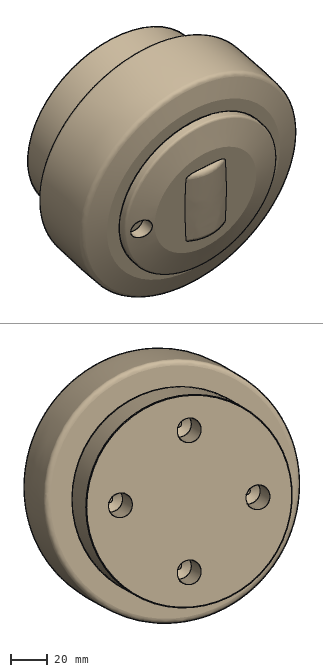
import cadquery as cq
import math


flange_diameter = 120.0
flange_end = 26.1
flange_chamfer = 0.5

neck_diameter = 100.0
neck_end = 28.0
groove_diameter = 99.1

tyre_diameter = 149.0
tyre_start = 28.9
tyre_end = 73.9
tyre_crown_drop = 0.5
tyre_cone_width = 3.9
tyre_round = 3.0

spacer_diameter = 101.5
cap_diameter = 104.5
cap_start = 74.5
cap_end = 85.0
cap_cone_width = 4.6
cap_chamfer = 0.5
cap_round = 1.5
cone_angle = 15.0

overall_length = 89.1
roller_radius = 26.5
roller_length = 50.4
roller_crown_drop = 0.5
roller_round = 3.0

mounting_hole_diameter = 13.9
mounting_hole_floor_diameter = 4.3
mounting_hole_depth = 17.9
mounting_tip_angle = 118.0
mounting_circle_radius = 40.0
mounting_hole_count = 4

lube_hole_diameter = 12.4
lube_hole_offset = 42.6
lube_hole_depth = 9.0

selection_margin = 0.1

cone_slope = math.tan(math.radians(cone_angle))


def disc(diameter, start, end):
    """Plain cylinder about X between two X positions."""
    return cq.Workplane("YZ").workplane(offset=start).circle(diameter / 2).extrude(end - start)


def rings_at(position):
    """Selector for the circular edges, centred on the X axis, at one X position."""
    return cq.selectors.BoxSelector(
        (position - selection_margin, -selection_margin, -selection_margin),
        (position + selection_margin, selection_margin, selection_margin),
    )


def make_flange():
    return disc(flange_diameter, 0, flange_end).edges().chamfer(flange_chamfer)


def make_tyre():
    crown_radius = tyre_diameter / 2
    edge_radius = crown_radius - tyre_crown_drop
    shoulder = tyre_end - tyre_cone_width
    cone_foot_radius = edge_radius - tyre_cone_width / cone_slope
    profile = (
        cq.Workplane("XY")
        .moveTo(tyre_start, 0)
        .lineTo(tyre_start, edge_radius)
        .threePointArc(((tyre_start + shoulder) / 2, crown_radius), (shoulder, edge_radius))
        .lineTo(tyre_end, cone_foot_radius)
        .lineTo(tyre_end, 0)
        .close()
    )
    tyre = profile.revolve(360, (0, 0, 0), (1, 0, 0))
    return tyre.edges(rings_at(tyre_start) + rings_at(shoulder)).fillet(tyre_round)


def make_cap():
    rim_radius = cap_diameter / 2
    shoulder = cap_end - cap_cone_width
    cone_foot_radius = rim_radius - cap_cone_width / cone_slope
    profile = (
        cq.Workplane("XY")
        .moveTo(cap_start, 0)
        .lineTo(cap_start, rim_radius)
        .lineTo(shoulder, rim_radius)
        .lineTo(cap_end, cone_foot_radius)
        .lineTo(cap_end, 0)
        .close()
    )
    cap = profile.revolve(360, (0, 0, 0), (1, 0, 0))
    cap = cap.edges("<X").chamfer(cap_chamfer)
    return cap.edges(rings_at(shoulder)).fillet(cap_round)


def make_side_roller():
    half_length = roller_length / 2
    end_radius = roller_radius - roller_crown_drop
    profile = (
        cq.Workplane("XZ")
        .moveTo(0, -half_length)
        .lineTo(end_radius, -half_length)
        .threePointArc((roller_radius, 0), (end_radius, half_length))
        .lineTo(0, half_length)
        .close()
    )
    roller = profile.revolve(360, (0, 0, 0), (0, 1, 0))
    roller = roller.faces("<Z or >Z").edges().fillet(roller_round)
    return roller.translate((overall_length - roller_radius, 0, 0))


def make_mounting_holes():
    """Blind drillings with a conical bottom that ends in a small flat."""
    hole_radius = mounting_hole_diameter / 2
    floor_radius = mounting_hole_floor_diameter / 2
    tip_length = (hole_radius - floor_radius) / math.tan(math.radians(mounting_tip_angle / 2))
    hole = (
        cq.Workplane("XY")
        .lineTo(0, hole_radius)
        .lineTo(mounting_hole_depth, hole_radius)
        .lineTo(mounting_hole_depth + tip_length, floor_radius)
        .lineTo(mounting_hole_depth + tip_length, 0)
        .close()
        .revolve(360, (0, 0, 0), (1, 0, 0))
        .translate((0, mounting_circle_radius, 0))
    )
    holes = cq.Workplane("XY")
    for index in range(mounting_hole_count):
        angle = index * 360 / mounting_hole_count
        holes = holes.add(hole.rotate((0, 0, 0), (1, 0, 0), angle))
    return holes.combine()


def make_lube_hole():
    hole = disc(lube_hole_diameter, cap_end - lube_hole_depth, cap_end)
    return hole.translate((0, -lube_hole_offset, 0))


result = (
    make_flange()
    .union(disc(neck_diameter, flange_end, neck_end))
    .union(disc(groove_diameter, neck_end, tyre_start))
    .union(make_tyre())
    .union(disc(spacer_diameter, tyre_end, cap_start))
    .union(make_cap())
    .union(make_side_roller())
    .cut(make_mounting_holes())
    .cut(make_lube_hole())
)